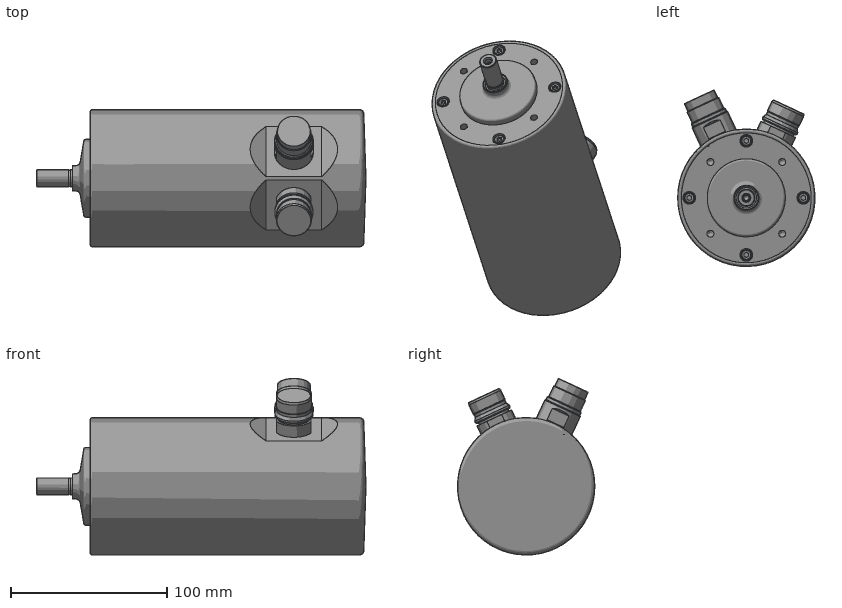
import cadquery as cq
import math


total_length = 211.0
body_radius = 88.0 / 2
front_rim_x = 34.4
front_rim_round = 1.5
front_rim_crest_radius = body_radius - front_rim_round
front_face_radius = 41.5
front_face_x = front_rim_x + front_rim_round - math.sqrt(
    front_rim_round**2 - (front_rim_crest_radius - front_face_radius) ** 2
)
rear_cone_height = 1.37
rear_round = 3.0

pilot_radius = 50.0 / 2
pilot_front_x = 30.2
pilot_round = 1.7

cone_inner_x = 28.0
cone_inner_radius = 22.4 / 2
hub_front_x = 23.0
hub_front_radius = 16.0 / 2
hub_blend_x = 25.7
hub_blend_radius = 16.5 / 2
hub_blend_bulge = 1.0
hub_blend_setback = 0.6
hub_recess_radius = 15.0 / 2
hub_recess_floor_radius = 13.0 / 2
hub_recess_depth = 0.6

shaft_radius = 11.0 / 2
shaft_chamfer = 0.5
groove_radius = 10.5 / 2
groove_start_x = 20.7
groove_width = 1.0

countersink_radius = 5.7 / 2
counterbore_radius = 4.5 / 2
counterbore_depth = 4.2
tap_radius = 3.4 / 2
tap_depth = 12.7
countersink_half_angle = 30.0
drill_tip_half_angle = 59.0

screw_circle_radius = 36.5
screw_start_angle = 0.0
screw_recess_radius = 8.0 / 2
screw_recess_depth = 3.2
screw_head_radius = 7.0 / 2
screw_head_sink = 0.5
screw_head_chamfer = 0.6
socket_across_flats = 3.0
socket_sides = 6
socket_depth = 1.7
mount_circle_radius = 32.5
mount_start_angle = 45.0
mount_hole_radius = 4.5 / 2
mount_hole_depth = 8.5
holes_per_circle = 4

connector_x = 164.8
connector_tilt = 25.0
seat_height = 40.3
seat_length = 35.7
seat_end_slope = 20.0

flat_across = 22.2

clearance = 2.1

tall_base_radius = 25.1 / 2
tall_base_top = 55.0
tall_base_chamfer = 0.6
tall_collar_radius = 24.0 / 2
tall_collar_top = 57.5
tall_barrel_radius = 22.4 / 2
tall_barrel_bottom = 58.2
tall_barrel_top = 65.6
tall_tip_radius = 21.0 / 2
tall_tip_bottom = 66.0
tall_top = 71.3
tall_flat_bottom = 44.3
tall_flat_top = 52.3
tall_flat_runout_slope = 0.8

short_base_radius = 24.5 / 2
short_base_top = 48.3
short_groove_radius = 21.0 / 2
short_ring_bottom = 49.8
short_ring_radius = 24.5 / 2
short_ring_chamfer = 0.6
short_ring_top = 51.7
short_neck_radius = 22.0 / 2
short_neck_bottom = 53.8
short_neck_top = 55.7
short_barrel_radius = 22.5 / 2
short_barrel_bottom = 56.3
short_barrel_top = 62.7
short_tip_radius = 21.5 / 2
short_top = 64.1


def tip_depth(radius):
    """Height of the conical bottom of a drilled hole."""
    return radius / math.tan(math.radians(drill_tip_half_angle))


def spin(profile):
    """Revolve an (x, radius) outline about the motor axis."""
    return profile.close().revolve(360, (0, 0, 0), (1, 0, 0))


def make_motor_blank():
    """Shaft, hub, pilot boss and body turned in one piece."""
    groove_end_x = groove_start_x + groove_width
    recess_floor_x = hub_front_x + hub_recess_depth
    rear_edge_x = total_length - rear_cone_height
    blend_middle = (cone_inner_x - hub_blend_setback, hub_blend_radius + hub_blend_bulge)

    outline = (
        cq.Workplane("XY")
        .moveTo(0, 0)
        .lineTo(0, shaft_radius - shaft_chamfer)
        .lineTo(shaft_chamfer, shaft_radius)
        .lineTo(groove_start_x, shaft_radius)
        .lineTo(groove_start_x, groove_radius)
        .lineTo(groove_end_x, groove_radius)
        .lineTo(groove_end_x, shaft_radius)
        .lineTo(recess_floor_x, shaft_radius)
        .lineTo(recess_floor_x, hub_recess_floor_radius)
        .lineTo(hub_front_x, hub_recess_radius)
        .lineTo(hub_front_x, hub_front_radius)
        .lineTo(hub_blend_x, hub_blend_radius)
        .threePointArc(blend_middle, (cone_inner_x, cone_inner_radius))
        .lineTo(pilot_front_x, pilot_radius - pilot_round)
        .radiusArc((pilot_front_x + pilot_round, pilot_radius), pilot_round)
        .lineTo(front_face_x, pilot_radius)
        .lineTo(front_face_x, front_face_radius)
        .threePointArc(
            (front_rim_x, front_rim_crest_radius),
            (front_rim_x + front_rim_round, body_radius),
        )
        .lineTo(rear_edge_x - rear_round, body_radius)
        .radiusArc((rear_edge_x, body_radius - rear_round), rear_round)
        .lineTo(total_length, 0)
    )
    return spin(outline)


def make_centre_hole():
    """Threaded centre hole with countersink in the shaft end."""
    countersink_depth = (countersink_radius - counterbore_radius) / math.tan(
        math.radians(countersink_half_angle)
    )
    return spin(
        cq.Workplane("XY")
        .moveTo(0, 0)
        .lineTo(0, countersink_radius)
        .lineTo(countersink_depth, counterbore_radius)
        .lineTo(counterbore_depth, counterbore_radius)
        .lineTo(counterbore_depth, tap_radius)
        .lineTo(tap_depth, tap_radius)
        .lineTo(tap_depth + tip_depth(tap_radius), 0)
    )


def make_screw_recess():
    """Ring-shaped gap around a cap screw head, with the hexagon socket."""
    gap = spin(
        cq.Workplane("XY")
        .moveTo(0, 0)
        .lineTo(0, screw_recess_radius)
        .lineTo(screw_recess_depth, screw_recess_radius)
        .lineTo(screw_recess_depth, screw_head_radius)
        .lineTo(screw_head_sink + screw_head_chamfer, screw_head_radius)
        .lineTo(screw_head_sink, screw_head_radius - screw_head_chamfer)
        .lineTo(screw_head_sink, 0)
    )
    corner_diameter = socket_across_flats / math.cos(math.pi / socket_sides)
    socket = (
        cq.Workplane("YZ")
        .transformed(rotate=(0, 0, 90))
        .polygon(socket_sides, corner_diameter)
        .extrude(screw_head_sink + socket_depth)
    )
    return gap.union(socket)


def make_mount_hole():
    """Blind drilled hole with a conical bottom."""
    return spin(
        cq.Workplane("XY")
        .moveTo(0, 0)
        .lineTo(0, mount_hole_radius)
        .lineTo(mount_hole_depth, mount_hole_radius)
        .lineTo(mount_hole_depth + tip_depth(mount_hole_radius), 0)
    )


def front_face_places(circle_radius, start_angle):
    """Positions equally spaced on a circle of the front face."""
    places = []
    for index in range(holes_per_circle):
        angle = math.radians(start_angle + index * 360 / holes_per_circle)
        places.append((front_face_x, circle_radius * math.cos(angle), circle_radius * math.sin(angle)))
    return places


def tilt(shape, angle):
    """Lean a shape built upright on Z about the motor axis and move it to the connectors."""
    return shape.rotate((0, 0, 0), (1, 0, 0), angle).translate((connector_x, 0, 0))


def make_seat_cut():
    """Upright cutter for a connector seat: flat floor with sloped ends."""
    rise = body_radius - seat_height + clearance
    half_floor = seat_length / 2
    half_top = half_floor + rise / math.tan(math.radians(seat_end_slope))
    return (
        cq.Workplane("XZ")
        .moveTo(-half_floor, seat_height)
        .lineTo(half_floor, seat_height)
        .lineTo(half_top, seat_height + rise)
        .lineTo(-half_top, seat_height + rise)
        .close()
        .extrude(body_radius, both=True)
    )


def make_motor():
    """Turned motor with its front-face holes and the two connector seats."""
    motor = make_motor_blank().cut(make_centre_hole())
    for place in front_face_places(screw_circle_radius, screw_start_angle):
        motor = motor.cut(make_screw_recess().translate(place))
    for place in front_face_places(mount_circle_radius, mount_start_angle):
        motor = motor.cut(make_mount_hole().translate(place))
    for angle in (-connector_tilt, connector_tilt):
        motor = motor.cut(tilt(make_seat_cut(), angle))
    return motor


def turn_upright(points):
    """Revolve (radius, height) points about Z."""
    return cq.Workplane("XZ").polyline(points).close().revolve(360, (0, 0, 0), (0, 1, 0))


def make_flat_cut(bottom, top, runout_slope):
    """Cutter for the two wrench flats facing -X and +X."""
    inner = flat_across / 2
    outer = inner + clearance
    side = (
        cq.Workplane("XZ")
        .moveTo(inner, bottom)
        .lineTo(outer, bottom)
        .lineTo(outer, top + runout_slope * clearance)
        .lineTo(inner, top)
        .close()
        .extrude(inner, both=True)
    )
    return side.union(side.mirror("YZ"))


def make_tall_connector():
    """Stepped round connector with pocketed flats."""
    body = turn_upright([
        (0, seat_height),
        (tall_base_radius, seat_height),
        (tall_base_radius, tall_base_top),
        (tall_collar_radius, tall_base_top + tall_base_chamfer),
        (tall_collar_radius, tall_collar_top),
        (tall_barrel_radius, tall_barrel_bottom),
        (tall_barrel_radius, tall_barrel_top),
        (tall_tip_radius, tall_tip_bottom),
        (tall_tip_radius, tall_top),
        (0, tall_top),
    ])
    body = body.cut(make_flat_cut(tall_flat_bottom, tall_flat_top, tall_flat_runout_slope))
    return tilt(body, -connector_tilt)


def make_short_connector():
    """Stepped round connector with flats over the full height of its base."""
    body = turn_upright([
        (0, seat_height),
        (short_base_radius, seat_height),
        (short_base_radius, short_base_top),
        (short_groove_radius, short_base_top),
        (short_groove_radius, short_ring_bottom),
        (short_ring_radius - short_ring_chamfer, short_ring_bottom),
        (short_ring_radius, short_ring_bottom + short_ring_chamfer),
        (short_ring_radius, short_ring_top),
        (short_neck_radius, short_neck_bottom),
        (short_neck_radius, short_neck_top),
        (short_barrel_radius, short_barrel_bottom),
        (short_barrel_radius, short_barrel_top),
        (short_tip_radius, short_top),
        (0, short_top),
    ])
    body = body.cut(make_flat_cut(seat_height, short_base_top, 0))
    return tilt(body, connector_tilt)


motor = make_motor()
tall_connector = make_tall_connector()
short_connector = make_short_connector()

result = cq.Compound.makeCompound([
    motor.val(),
    tall_connector.val(),
    short_connector.val(),
])